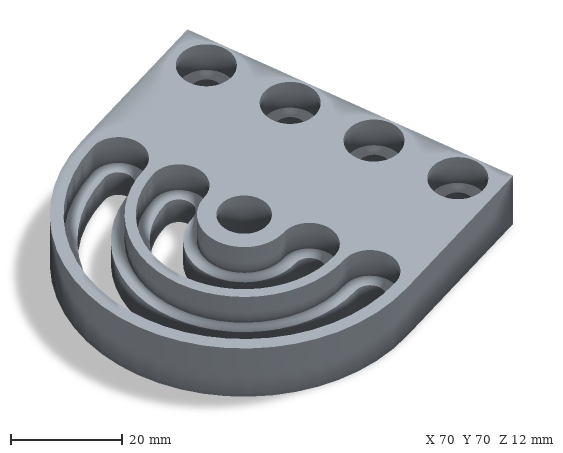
import cadquery as cq

width = 70.0
thickness = 12.0
end_radius = width / 2
back_y = end_radius

clearance_width = 6.0
recess_width = 11.0
recess_depth = 6.4
recess_floor_z = thickness - recess_depth

pivot_diameter = 10.0

inner_slot_radius = 14.0
outer_slot_radius = 27.0

hole_count = 4
hole_edge_distance = 6.0
hole_spacing = 2 * outer_slot_radius / (hole_count - 1)


def arc_slot(center_radius, slot_width, bottom_z):
    """Half-ring cutter with rounded ends, from bottom_z to the top face."""
    outer = center_radius + slot_width / 2
    inner = center_radius - slot_width / 2
    end_cap_y = slot_width / 2
    return (
        cq.Workplane("XY", origin=(0, 0, bottom_z))
        .moveTo(-outer, 0)
        .threePointArc((0, -outer), (outer, 0))
        .threePointArc((center_radius, end_cap_y), (inner, 0))
        .threePointArc((0, -inner), (-inner, 0))
        .threePointArc((-center_radius, end_cap_y), (-outer, 0))
        .close()
        .extrude(thickness - bottom_z)
    )


plate = (
    cq.Workplane("XY")
    .moveTo(-end_radius, back_y)
    .lineTo(-end_radius, 0)
    .threePointArc((0, -end_radius), (end_radius, 0))
    .lineTo(end_radius, back_y)
    .close()
    .extrude(thickness)
)

plate = plate.faces(">Z").workplane(origin=(0, 0, thickness)).hole(pivot_diameter)

hole_points = [
    (-outer_slot_radius + i * hole_spacing, back_y - hole_edge_distance)
    for i in range(hole_count)
]
plate = (
    plate.faces(">Z")
    .workplane(origin=(0, 0, thickness))
    .pushPoints(hole_points)
    .cboreHole(clearance_width, recess_width, recess_depth)
)

for slot_radius in (inner_slot_radius, outer_slot_radius):
    plate = plate.cut(arc_slot(slot_radius, clearance_width, 0))
    plate = plate.cut(arc_slot(slot_radius, recess_width, recess_floor_z))

result = plate